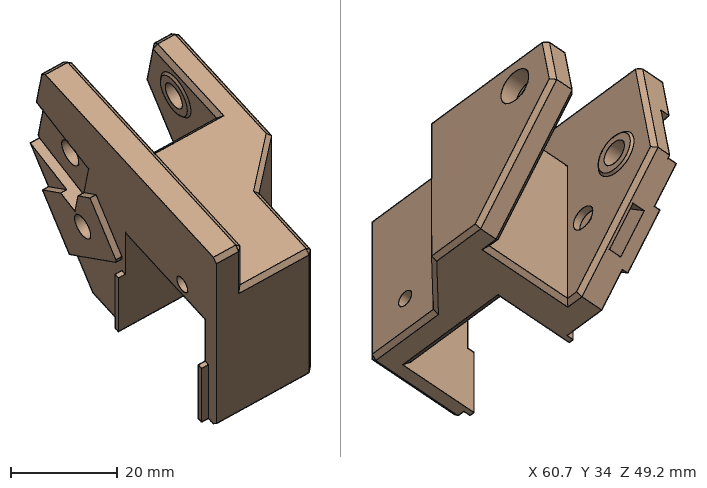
import cadquery as cq
import math

length = 60.7
height = 49.2
depth = 32.4
edge_chamfer = 1.0

tip_height = 24.65
upper_lean = 10.0
lower_lean = 40.0

plate_thickness = 6.15
block_height = 36.8
block_left = 23.55
block_back = 22.35
arm_inner = 26.45
slope_start = 33.0

channel_left = 31.2
channel_right = 57.05
channel_top = 28.2
channel_depth = 14.95
channel_lead_in = 2.0

rib_width = 1.1
rib_height = 15.9
rib_projection = 1.6

pivot_x = 10.4
pivot_z = 29.6
pivot_bore = 5.5
pocket_half = 7.1
pocket_right = 7.8
pocket_depth = 2.1
pad_diameter = 8.75
pad_height = 0.5
counterbore = 7.5
counterbore_depth = 3.75

boss_x = 19.35
boss_z = 19.2
boss_half = 6.8
boss_end = 8.8
boss_projection = 1.4
boss_bore = 5.2
nut_slot_half = 5.0
nut_slot_front = 1.6
nut_slot_back = 4.5

screw_hole = 3.5
wall_hole_xs = (37.35, 50.75)
wall_hole_z = 9.3
top_screw_x = 49.65
top_screw_z = 31.2
top_nut_width = 6.1
top_nut_thickness = 2.25

overlap = 0.6
overrun = 36.4
tolerance = 0.005


def box(x0, x1, y0, y1, z0, z1):
    """Axis-aligned box between two corners."""
    return cq.Workplane("XY", origin=(x0, y0, z0)).box(x1 - x0, y1 - y0, z1 - z0, centered=False)


def rod(x, z, diameter, y0, y1):
    """Cylinder along Y."""
    return cq.Workplane("XZ", origin=(x, y0, z)).circle(diameter / 2).extrude(y0 - y1)


def turned_box(x, z, angle, u_range, v_half, y0, y1):
    """Box whose U axis is raised by `angle` from X, turned about the point (x, z)."""
    flat = box(u_range[0], u_range[1], y0, y1, -v_half, v_half)
    return flat.rotate((0, 0, 0), (0, -1, 0), angle).translate((x, 0, z))


def outline_x(z):
    """X of the left outline at height z."""
    if z < tip_height:
        return (tip_height - z) * math.tan(math.radians(lower_lean))
    return (z - tip_height) * math.tan(math.radians(upper_lean))


def outline_prism(top, y0, y1):
    """Side outline cut off at the height `top`."""
    points = [(0, tip_height), (outline_x(top), top), (length, top), (length, 0), (outline_x(0), 0)]
    return cq.Workplane("XZ", origin=(0, y0, 0)).polyline(points).close().extrude(y0 - y1)


def make_plate():
    """Front plate with three clipped corners and a chamfered back edge."""
    clipped_corners = [(outline_x(height), height), (length, height), (length, 0)]

    def is_clipped(edge):
        c = edge.Center()
        return any(math.hypot(c.x - x, c.z - z) < tolerance for x, z in clipped_corners)

    plate = outline_prism(height, 0, plate_thickness)
    corner_edges = plate.edges("|Y").filter(is_clipped)
    return corner_edges.add(plate.faces(">Y").edges()).chamfer(edge_chamfer)


def make_block():
    """Block behind the plate together with the arm reaching left."""
    slope_end = slope_start + depth - block_back
    plan = [
        (block_left, 0),
        (length, 0),
        (length, block_back),
        (slope_end, block_back),
        (slope_start, depth),
        (0, depth),
        (0, arm_inner),
        (block_left, arm_inner),
    ]
    prism = cq.Workplane("XY").polyline(plan).close().extrude(block_height)
    block = prism.intersect(outline_prism(block_height, 0, depth))

    sharp_corners = [(block_left, arm_inner), (slope_start, depth), (slope_end, block_back)]
    arm_middle = (arm_inner + depth) / 2
    sharp_arm_edges = [(0, tip_height), (outline_x(0), 0)]

    def is_chamfered(edge):
        c = edge.Center()
        on_front = c.y < tolerance
        at_corner = any(math.hypot(c.x - x, c.y - y) < tolerance for x, y in sharp_corners)
        on_arm_end = abs(c.y - arm_middle) < tolerance and any(
            math.hypot(c.x - x, c.z - z) < tolerance for x, z in sharp_arm_edges)
        return not (on_front or at_corner or on_arm_end)

    return block.edges().filter(is_chamfered).chamfer(edge_chamfer)


def make_pad(y, direction):
    """45 degree conical pad around the pivot, rising along +Y or -Y."""
    plane = cq.Plane(origin=(pivot_x, y, pivot_z), xDir=(1, 0, 0), normal=(0, direction, 0))
    return cq.Workplane(plane).circle(pad_diameter / 2 + pad_height).extrude(pad_height, taper=45)


def make_boss():
    """Inclined raised boss, trimmed by the side outline and the left rib."""
    boss = turned_box(boss_x, boss_z, lower_lean, (-overrun, boss_end), boss_half, -boss_projection, overlap)
    boss = boss.intersect(outline_prism(height, -boss_projection, overlap))
    return boss.cut(box(channel_left - rib_width, length, -overrun, overrun, 0, height))


def make_rib(x):
    """Guide rib on the plate face, starting at the given X."""
    return box(x, x + rib_width, -rib_projection, overlap, 0, rib_height)


def make_channel():
    """Channel with a 45 degree lead-in at the bottom of its back wall."""
    channel = box(channel_left, channel_right, -overrun, channel_depth, -overlap, channel_top)
    lead_in = (
        cq.Workplane("YZ", origin=(channel_left, 0, 0))
        .polyline([
            (channel_depth, 0),
            (channel_depth + channel_lead_in, 0),
            (channel_depth, channel_lead_in),
        ])
        .close()
        .extrude(channel_right - channel_left)
    )
    return channel.union(lead_in)


body = make_plate().union(make_block())
body = body.union(make_pad(plate_thickness, 1))
body = body.union(make_pad(arm_inner, -1))
body = body.union(make_boss())
for rib_x in (channel_left - rib_width, channel_right):
    body = body.union(make_rib(rib_x))
body = body.cut(make_channel())

body = body.cut(turned_box(pivot_x, pivot_z, -upper_lean, (-overrun, pocket_right), pocket_half,
                           -overrun, pocket_depth))
body = body.cut(rod(pivot_x, pivot_z, pivot_bore, -overlap, depth + overlap))
body = body.cut(rod(pivot_x, pivot_z, counterbore, depth - counterbore_depth, depth + overlap))

body = body.cut(rod(boss_x, boss_z, boss_bore, -boss_projection - overlap, plate_thickness + overlap))
body = body.cut(turned_box(boss_x, boss_z, lower_lean, (-overrun, nut_slot_half), nut_slot_half,
                           nut_slot_front, nut_slot_back))

for hole_x in wall_hole_xs:
    body = body.cut(rod(hole_x, wall_hole_z, screw_hole, channel_depth - overlap, depth))

top_nut_back = plate_thickness + top_nut_thickness
body = body.cut(rod(top_screw_x, top_screw_z, screw_hole, -overlap, top_nut_back))
body = body.cut(box(top_screw_x - top_nut_width / 2, top_screw_x + top_nut_width / 2,
                    plate_thickness, top_nut_back, channel_top - overlap, block_height + overlap))

result = cq.Workplane(body.solids().val())